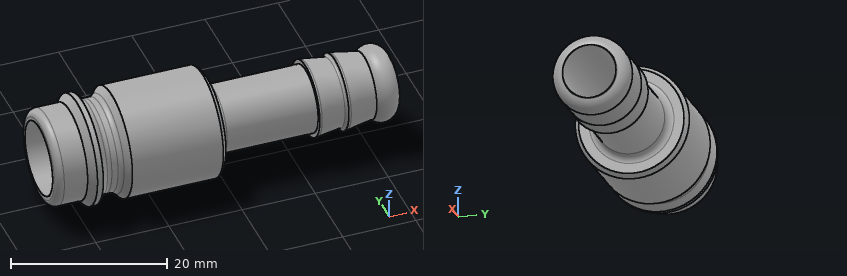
import cadquery as cq
import math

total_length = 48.0
collar_start = 4.2
collar_crest_end = 6.0
body_start = 10.0
body_end = 23.0
first_barb_start = 36.5
second_barb_start = 40.45

body_radius = 15.0 / 2
nose_radius = 13.0 / 2
groove_radius = 12.65 / 2
stem_radius = 9.1 / 2
barb_radius = 5.2
barb_root_radius = 4.7

nose_fillet = 1.0
groove_fillet = 1.0
stem_fillet = 1.0
body_chamfer = 0.6

barb_land = 0.3
barb_fillet = 0.4
barb_relief_end = second_barb_start - barb_fillet
bead_round = 2.0
bead_center_x = 46.05
bead_neck_radius = 4.5

mouth_radius = 10.0 / 2
bore_radius = 7.0 / 2
mouth_depth = 17.0
drill_half_angle = math.radians(59)

diagonal = math.sqrt(0.5)
fillet_run = groove_fillet * diagonal
fillet_rise = groove_fillet * (1 - diagonal)
flank_run = body_radius - groove_radius - fillet_rise
floor_start = collar_crest_end + flank_run + fillet_run
floor_end = body_start - flank_run - fillet_run
mid_arc_run = groove_fillet * math.sin(math.pi / 8)
mid_arc_rise = groove_fillet * (1 - math.cos(math.pi / 8))

bead_center_radius = barb_radius - bead_round
bead_start = bead_center_x - math.sqrt(bead_round**2 - (bead_neck_radius - bead_center_radius) ** 2)
end_face_radius = bead_center_radius + math.sqrt(bead_round**2 - (total_length - bead_center_x) ** 2)


def quarter_arc_middle(center_x, center_radius, arc_radius, x_side, radius_side):
    """Middle point of a quarter circle lying on the given sides of its centre."""
    reach = arc_radius * diagonal
    return (center_x + x_side * reach, center_radius + radius_side * reach)


profile = (
    cq.Workplane("XY")
    .moveTo(0, 0)
    .lineTo(0, nose_radius - nose_fillet)
    .threePointArc(
        quarter_arc_middle(nose_fillet, nose_radius - nose_fillet, nose_fillet, -1, 1),
        (nose_fillet, nose_radius),
    )
    .lineTo(collar_start, nose_radius)
    .lineTo(collar_start + body_radius - nose_radius, body_radius)
    .lineTo(collar_crest_end, body_radius)
    .lineTo(collar_crest_end + flank_run, groove_radius + fillet_rise)
    .threePointArc(
        (floor_start - mid_arc_run, groove_radius + mid_arc_rise),
        (floor_start, groove_radius),
    )
    .lineTo(floor_end, groove_radius)
    .threePointArc(
        (floor_end + mid_arc_run, groove_radius + mid_arc_rise),
        (floor_end + fillet_run, groove_radius + fillet_rise),
    )
    .lineTo(body_start, body_radius)
    .lineTo(body_end - body_chamfer, body_radius)
    .lineTo(body_end, body_radius - body_chamfer)
)

profile = (
    profile.lineTo(body_end, stem_radius + stem_fillet)
    .threePointArc(
        quarter_arc_middle(body_end + stem_fillet, stem_radius + stem_fillet, stem_fillet, -1, -1),
        (body_end + stem_fillet, stem_radius),
    )
    .lineTo(first_barb_start, stem_radius)
    .lineTo(first_barb_start, barb_radius)
    .lineTo(first_barb_start + barb_land, barb_radius)
    .lineTo(barb_relief_end, barb_root_radius)
    .threePointArc(
        quarter_arc_middle(barb_relief_end, barb_root_radius + barb_fillet, barb_fillet, 1, -1),
        (second_barb_start, barb_root_radius + barb_fillet),
    )
    .lineTo(second_barb_start, barb_radius)
    .lineTo(second_barb_start + barb_land, barb_radius)
    .lineTo(bead_start, bead_neck_radius)
    .threePointArc((bead_center_x, barb_radius), (total_length, end_face_radius))
    .lineTo(total_length, 0)
    .close()
)
axis_start = (0, 0, 0)
axis_end = (1, 0, 0)
outside = profile.revolve(360, axis_start, axis_end)

shoulder_length = (mouth_radius - bore_radius) / math.tan(drill_half_angle)
bore = (
    cq.Workplane("XY")
    .moveTo(0, 0)
    .lineTo(0, mouth_radius)
    .lineTo(mouth_depth, mouth_radius)
    .lineTo(mouth_depth + shoulder_length, bore_radius)
    .lineTo(total_length, bore_radius)
    .lineTo(total_length, 0)
    .close()
    .revolve(360, axis_start, axis_end)
)

result = outside.cut(bore)